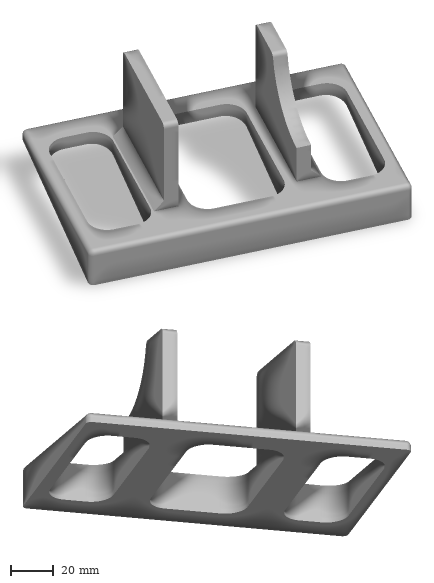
import cadquery as cq

BASE_WIDTH = 100.0
BASE_LENGTH = 160.0
THIN_EDGE = 5.0
THICK_EDGE = 20.0
EDGE_RADIUS = 2.5

WINDOW_WIDTH = 73.8
WINDOW_RADIUS = 10.0
MIDDLE_WINDOW_LENGTH = 47.7
END_WINDOW_LENGTH = 31.2
END_WINDOW_MARGIN = 6.5

WALL_WIDTH = 60.0
WALL_HEIGHT = 50.0
WALL_THICKNESS = 7.2
WALL_GAP = 58.4
BEVEL = 5.0

SCOOP_RADIUS = 35.0
SCOOP_CENTRE_RISE = 5.0

WALL_TOP = THICK_EDGE + WALL_HEIGHT


def make_base():
    half_width = BASE_WIDTH / 2
    profile = [
        (-half_width, THICK_EDGE),
        (half_width, THICK_EDGE),
        (half_width, 0),
        (-half_width, THICK_EDGE - THIN_EDGE),
    ]
    wedge = cq.Workplane("XZ").polyline(profile).close().extrude(BASE_LENGTH / 2, both=True)
    return wedge.edges("|Z").fillet(EDGE_RADIUS).faces(">Z").edges().fillet(EDGE_RADIUS)


def make_window(length, y_centre):
    window = cq.Workplane("XY").center(0, y_centre).rect(WINDOW_WIDTH, length).extrude(THICK_EDGE)
    return window.edges("|Z").fillet(WINDOW_RADIUS)


def make_wall():
    """The full-height +Y wall with its bevelled foot, top corners still sharp."""
    inner = WALL_GAP / 2
    outer = inner + WALL_THICKNESS
    profile = [
        (inner, THICK_EDGE),
        (inner, WALL_TOP),
        (outer, WALL_TOP),
        (outer, THICK_EDGE + BEVEL),
        (outer + BEVEL, THICK_EDGE),
    ]
    return cq.Workplane("YZ").polyline(profile).close().extrude(WALL_WIDTH / 2, both=True)


def round_top_corners(wall):
    return wall.faces(">Z").edges("|Y").fillet(EDGE_RADIUS)


def cut_scoop(wall):
    scoop = (
        cq.Workplane("XZ")
        .center(WALL_WIDTH / 2, WALL_TOP + SCOOP_CENTRE_RISE)
        .circle(SCOOP_RADIUS)
        .extrude(-BASE_LENGTH / 2)
    )
    return wall.cut(scoop)


base = make_base()
end_window_y = BASE_LENGTH / 2 - END_WINDOW_MARGIN - END_WINDOW_LENGTH / 2
base = base.cut(make_window(MIDDLE_WINDOW_LENGTH, 0))
for side in (-1, 1):
    base = base.cut(make_window(END_WINDOW_LENGTH, side * end_window_y))

plain_wall = round_top_corners(make_wall().mirror("XZ"))
scooped_wall = round_top_corners(cut_scoop(make_wall()))

result = base.union(plain_wall).union(scooped_wall)